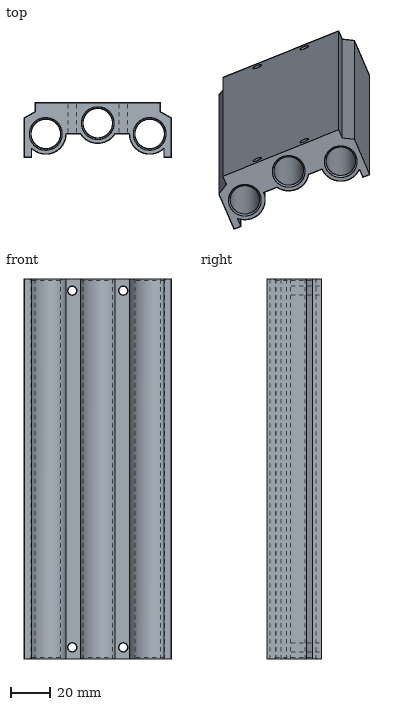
import cadquery as cq

WIDTH = 75.0
DEPTH = 28.0
LENGTH = 194.0
BACK_Y = DEPTH / 2
FRONT_Y = -DEPTH / 2

BACK_WIDTH = 64.0
SHOULDER_TOP_Y = BACK_Y - 4.7
SHOULDER_BOTTOM_Y = BACK_Y - 7.8

LIP_THICKNESS = 3.8
FLOOR_Y = BACK_Y - 16.0

CHANNEL_RADIUS = 10.35
BORE_DIAMETER = 15.0
BORE_CHAMFER = 0.85
SIDE_CHANNEL_X = 26.5
SIDE_CHANNEL_Y = FLOOR_Y
MIDDLE_CHANNEL_Y = BACK_Y - 10.5
CHANNEL_CENTRES = [
    (-SIDE_CHANNEL_X, SIDE_CHANNEL_Y),
    (0, MIDDLE_CHANNEL_Y),
    (SIDE_CHANNEL_X, SIDE_CHANNEL_Y),
]

MOUNT_DIAMETER = 4.5
MOUNT_SPACING_X = 26.0
MOUNT_END_DISTANCE = 6.0


def make_block():
    """Extruded outline with sloped shoulders at the back and a full-length recess at the front."""
    half_width = WIDTH / 2
    half_back = BACK_WIDTH / 2
    lip_inner_x = half_width - LIP_THICKNESS
    right_half = [
        (half_back, BACK_Y),
        (half_back, SHOULDER_TOP_Y),
        (half_width, SHOULDER_BOTTOM_Y),
        (half_width, FRONT_Y),
        (lip_inner_x, FRONT_Y),
        (lip_inner_x, FLOOR_Y),
    ]
    left_half = [(-x, y) for x, y in reversed(right_half)]
    return (
        cq.Workplane("XY", origin=(0, 0, -LENGTH / 2))
        .polyline(right_half + left_half)
        .close()
        .extrude(LENGTH)
    )


def make_channel_walls():
    """Cylinders around the bores, trimmed to the recess in front of the floor."""
    cylinders = (
        cq.Workplane("XY", origin=(0, 0, -LENGTH / 2))
        .pushPoints(CHANNEL_CENTRES)
        .circle(CHANNEL_RADIUS)
        .extrude(LENGTH)
    )
    recess_depth = FLOOR_Y - FRONT_Y
    recess = cq.Workplane("XY").box(WIDTH, recess_depth, LENGTH)
    recess = recess.translate((0, FRONT_Y + recess_depth / 2, 0))
    return cylinders.intersect(recess)


def make_bore(x, y):
    """Full-length bore with a chamfered mouth at both ends, as a solid to cut away."""
    bore_radius = BORE_DIAMETER / 2
    mouth_radius = bore_radius + BORE_CHAMFER
    half_length = LENGTH / 2
    chamfer_start = half_length - BORE_CHAMFER
    profile = [
        (0, -half_length),
        (mouth_radius, -half_length),
        (bore_radius, -chamfer_start),
        (bore_radius, chamfer_start),
        (mouth_radius, half_length),
        (0, half_length),
    ]
    bore = cq.Workplane("XZ").polyline(profile).close().revolve(360, (0, 0), (0, 1))
    return bore.translate((x, y, 0))


def make_mounting_holes():
    """Four holes along Y, one near each corner of the floor."""
    return (
        cq.Workplane("XZ", origin=(0, BACK_Y, 0))
        .rarray(MOUNT_SPACING_X, LENGTH - 2 * MOUNT_END_DISTANCE, 2, 2)
        .circle(MOUNT_DIAMETER / 2)
        .extrude(DEPTH)
    )


result = make_block().union(make_channel_walls())
for centre_x, centre_y in CHANNEL_CENTRES:
    result = result.cut(make_bore(centre_x, centre_y))
result = result.cut(make_mounting_holes())